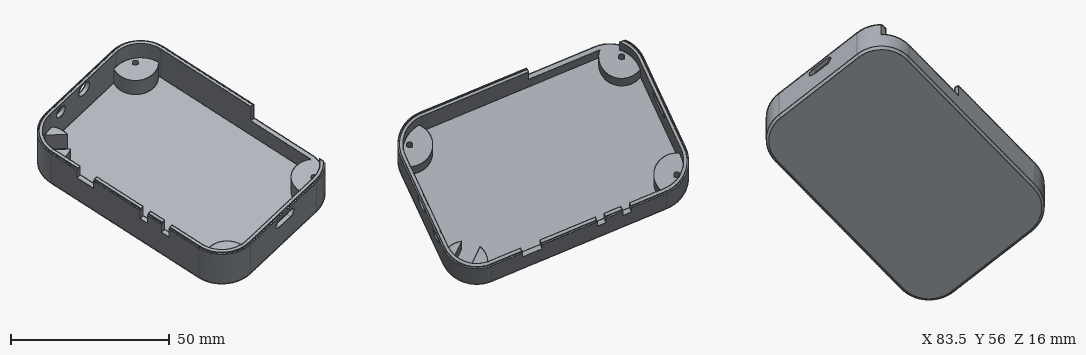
import cadquery as cq

length = 83.5
width = 56.0
height = 16.0
corner_radius = 11.6
wall = 1.6
floor = 1.9
bottom_chamfer = 0.8
rim_step = 0.5

boss_diameter = 14.5
boss_height = 7.0
boss_top = floor + boss_height
boss_x = 36.5
boss_y = 21.55
screw_diameter = 1.9

channel_width = 6.0
channel_angle = 42.0
channel_offset = 0.8

rear_cut_x = 6.6
rear_cut_y = 24.0

front_notches = [(-19.45, 6.8, 4.3), (6.3, 3.0, 4.5), (15.0, 3.0, 4.5)]

left_holes = [(5.4, 0.7, 3.25), (4.4, -10.85, 3.8)]

slot_length = 9.0
slot_height = 3.5
slot_y = 0.8
slot_drop = 3.9


def rounded_plate(inset, bottom, top):
    """Plate with rounded corners, set in from the outer outline."""
    return (
        cq.Workplane("XY", origin=(0, 0, bottom))
        .rect(length - 2 * inset, width - 2 * inset)
        .extrude(top - bottom)
        .edges("|Z")
        .fillet(corner_radius - inset)
    )


def corner_box(x, y, z, size_x, size_y, size_z):
    """Box that starts at the given corner."""
    return cq.Workplane("XY").box(size_x, size_y, size_z, centered=False).translate((x, y, z))


def make_shell():
    body = rounded_plate(0, 0, height - rim_step).faces("<Z").edges().chamfer(bottom_chamfer)
    rim = rounded_plate(rim_step, height - rim_step, height)
    return body.union(rim).cut(rounded_plate(wall, floor, height))


def make_bosses():
    bosses = (
        cq.Workplane("XY", origin=(0, 0, floor))
        .rect(2 * boss_x, 2 * boss_y, forConstruction=True)
        .vertices()
        .circle(boss_diameter / 2)
        .circle(screw_diameter / 2)
        .extrude(boss_height)
    )
    channel = (
        cq.Workplane("XY")
        .box(2 * boss_diameter, channel_width, boss_height)
        .translate((0, channel_offset, 0))
        .rotate((0, 0, 0), (0, 0, 1), channel_angle)
        .translate((-boss_x, -boss_y, floor + boss_height / 2))
    )
    return bosses.cut(channel).intersect(rounded_plate(wall, floor, height))


result = make_shell()

result = result.cut(corner_box(rear_cut_x, rear_cut_y, boss_top, length, width, height))
for left, notch_width, depth in front_notches:
    result = result.cut(corner_box(left, -width / 2, height - depth, notch_width, wall, depth))

for diameter, y, drop in left_holes:
    hole = cq.Workplane("YZ", origin=(-length / 2, y, height - drop)).circle(diameter / 2).extrude(wall)
    result = result.cut(hole)

slot = (
    cq.Workplane("YZ", origin=(length / 2 - wall, slot_y, height - slot_drop))
    .slot2D(slot_length, slot_height)
    .extrude(wall)
)
result = result.cut(slot)

result = result.union(make_bosses())